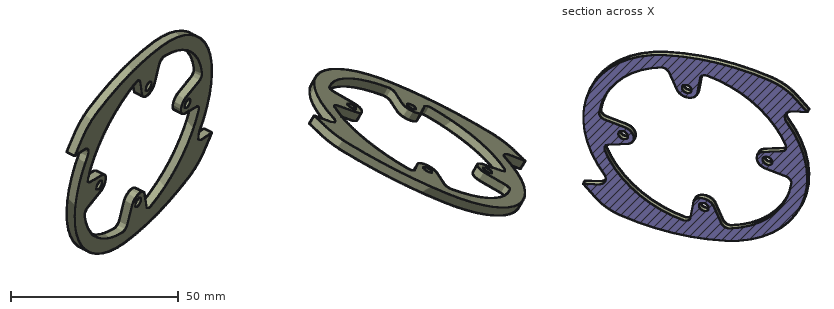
import cadquery as cq
import math

thickness = 3.0
outer_radius = 36.0
inner_radius = 31.0

lug_count = 4
first_lug_angle = 6.8
lug_taper = 15.0
hole_circle_radius = 23.3
hole_diameter = 3.0
lug_tip_radius = 3.5
lug_root_fillet = 2.0

hook_height = 37.3
back_apex = 9.7
tip = (36.0, 27.1)
nose_slope = 132.5
undercut_slope = 198.0
nose_fillet = 15.0
undercut_fillet = 3.0


def rotated(point, angle):
    """Turn a point about the part axis by an angle in degrees."""
    c = math.cos(math.radians(angle))
    s = math.sin(math.radians(angle))
    return (point[0] * c - point[1] * s, point[0] * s + point[1] * c)


def on_circle(center, radius, angle):
    """Point on a circle at an angle in degrees."""
    offset = rotated((radius, 0), angle)
    return (center[0] + offset[0], center[1] + offset[1])


def line_meets_circle(start, direction, center, radius, exits=False):
    """Where a line first enters a circle, or where it exits it."""
    ray = rotated((1, 0), direction)
    dx = start[0] - center[0]
    dy = start[1] - center[1]
    along = dx * ray[0] + dy * ray[1]
    half_chord = math.sqrt(along**2 - dx**2 - dy**2 + radius**2)
    distance = -along + (half_chord if exits else -half_chord)
    return (start[0] + distance * ray[0], start[1] + distance * ray[1])


def fillet_at(body, points, radius):
    """Round the edges along X whose middles lie at the given profile points."""
    edges = body.edges("|X")
    chosen = []
    for across, up in points:
        nearest = cq.selectors.NearestToPointSelector((0, -across, up))
        chosen += edges.edges(nearest).vals()
    return body.newObject(chosen).fillet(radius)


profile = cq.Plane(origin=(0, 0, 0), xDir=(0, -1, 0), normal=(-1, 0, 0))
axis = (0, 0)

back_radius = (back_apex**2 + hook_height**2 - outer_radius**2) / (2 * (hook_height - outer_radius))
back_center = (back_apex, hook_height - back_radius)
back_start_angle = math.degrees(math.atan2(-back_center[1], -back_center[0]))
back_start = on_circle(axis, outer_radius, back_start_angle)
nose = line_meets_circle(tip, nose_slope, back_center, back_radius, exits=True)
back_middle = (back_apex, hook_height)
undercut = line_meets_circle(tip, undercut_slope, axis, outer_radius)
undercut_angle = math.degrees(math.atan2(undercut[1], undercut[0]))
ring_middle = on_circle(axis, outer_radius, (undercut_angle + back_start_angle - 180) / 2)

outline = cq.Workplane(profile).moveTo(*back_start)
for turn in (0, -180):
    outline = outline.threePointArc(rotated(back_middle, turn), rotated(nose, turn))
    outline = outline.lineTo(*rotated(tip, turn))
    outline = outline.lineTo(*rotated(undercut, turn))
    outline = outline.threePointArc(rotated(ring_middle, turn), rotated(back_start, turn - 180))
body = outline.close().extrude(thickness / 2, both=True)
body = fillet_at(body, [nose, rotated(nose, 180)], nose_fillet)
body = fillet_at(body, [undercut, rotated(undercut, 180)], undercut_fillet)

opening = cq.Workplane(profile).circle(inner_radius).extrude(thickness, both=True)
body = body.cut(opening)

hole_center = (hole_circle_radius, 0)
upper_side = on_circle(hole_center, lug_tip_radius, 90 + lug_taper)
upper_root = line_meets_circle(upper_side, lug_taper, axis, inner_radius, exits=True)
lower_side = (upper_side[0], -upper_side[1])
lower_root = (upper_root[0], -upper_root[1])
lug_tip = (hole_circle_radius - lug_tip_radius, 0)
lug_end = ((inner_radius + outer_radius) / 2, 0)

lug_angles = [first_lug_angle + i * 360 / lug_count for i in range(lug_count)]
roots = []
for angle in lug_angles:
    lug = (
        cq.Workplane(profile)
        .moveTo(*rotated(upper_root, angle))
        .lineTo(*rotated(upper_side, angle))
        .threePointArc(rotated(lug_tip, angle), rotated(lower_side, angle))
        .lineTo(*rotated(lower_root, angle))
        .lineTo(*rotated(lug_end, angle))
        .close()
        .extrude(thickness / 2, both=True)
    )
    body = body.union(lug)
    roots += [rotated(upper_root, angle), rotated(lower_root, angle)]
body = fillet_at(body, roots, lug_root_fillet)

hole_centers = [rotated(hole_center, angle) for angle in lug_angles]
holes = (
    cq.Workplane(profile)
    .pushPoints(hole_centers)
    .circle(hole_diameter / 2)
    .extrude(thickness, both=True)
)
result = body.cut(holes)